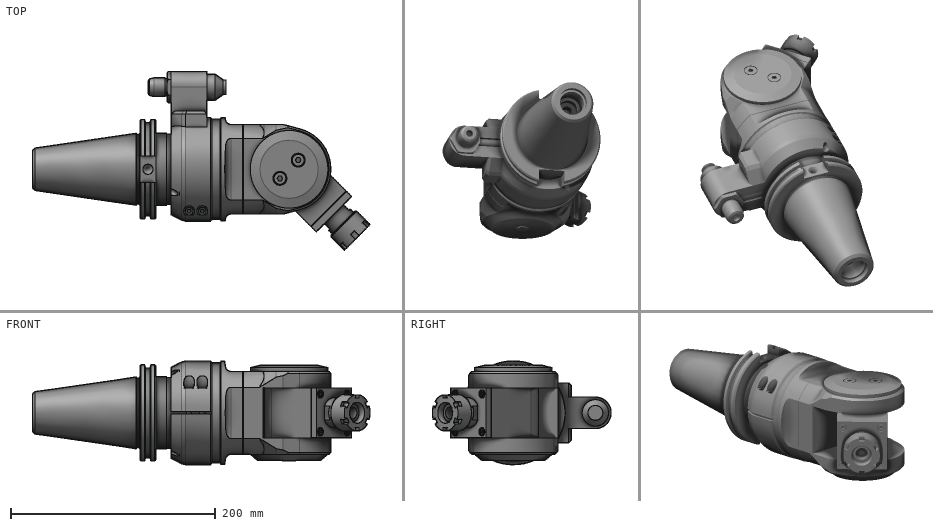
import cadquery as cq
import math


OVERALL_LENGTH = 331

TAPER_SMALL_R = 20.5
TAPER_LENGTH = 101.5
TAPER_SLOPE = 7 / 48
SHANK_END_CHAMFER = 2.5
SHANK_FACE_R = 18.5
RELIEF_R = 34.0
RELIEF_WALL = 1.0
FLANGE_X0, FLANGE_X1 = 105.2, 121.0
FLANGE_R = 49.0
FLANGE_EDGE = 1.3
V_GROOVE_X0, V_GROOVE_X1 = 110.0, 116.2
V_GROOVE_R = 46.0
V_GROOVE_SLOPE = 1.0
NECK_R = 35.5
NECK_X1 = 131.5
KEY_WIDTH = 25.8
KEY_FLOOR_TOP, KEY_FLOOR_BOTTOM = 37.7, 35.5
KEY_HOLE_D, KEY_HOLE_DEPTH = 10.0, 5.0
DRAWBAR_BORE = ((14.0, 5.0), (12.0, 23.2), (9.0, 29.8), (5.0, 39.7))

HUB_R = 34.8
BODY_R = 50.5
REGISTER_R = 49.3
RING_X0, RING_X1 = 136.0, 176.0
SHOULDER_X = 184.0
SHOULDER_EDGE = 1.0
FLAT_X0 = 190.0
FLAT_END_SLOPE = 0.15
FLAT_FILLET = 5.3
JOINT_X = 206.5
JOINT_EDGE = 0.5
FLAT_Y, FLAT_Z = 44.0, 40.7

SWIVEL_X = 251.5
CHEEK_R = 41.0
CHEEK_BEND_X = 245.5
CHEEK_EDGE = 2.0
CORNER_BEVEL = ((223.0, 49.3), (227.0, 50.5), (239.0, 56.0), (253.2, 58.0))
HEAD_HALF = 24.5
FORK_GAP_X = 226.5
COVER_R, COVER_TOP_R = 38.0, 28.5
COVER_WALL, COVER_RISE = 3.5, 6.0
COVER_BOTTOM_R = 30.8
PIVOT_D, PIVOT_HEIGHT = 13.0, 0.5
COVER_SCREW_OFFSET = 9.0
COVER_SCREW_D = 13.5

RING_R = 51.0
RING_FACE_R = 44.7
RING_CONE_X, RING_CONE_R = 146.3, 50.0
RING_ROUND_X = 150.3
RING_EDGE = 1.5
ARM_X1 = 171.0
ARM_HALF = 15.5
PIN_Y = 80.5
LUG_Y, LUG_HALF = 57.0, 29.5
LUG_EDGE = 2.5
SLIT_WIDTH = 2.5
CLAMP_SOCKET = 4.0
CLAMP_SCREW_X = (153.5, 166.5)
CLAMP_SCREW_Y = -41.0
CLAMP_HOLE_D, CLAMP_SEAT_D, CLAMP_SHANK_D = 10.5, 7.5, 5.0
CLAMP_STEP_Z, CLAMP_SEAT_Z = 24.0, 21.0
PEG_HOLE_D, PEG_HOLE_X1, PEG_HOLE_CIRCLE_R = 7.0, 144.3, 44.7
PEG_HOLE_ANGLE = 30
ROD_D = 8.5

PIN_R = 9.3
PIN_TIP_X, PIN_TIP_R = 113.5, 6.3
PIN_STEP_X, PIN_STEP_R, PIN_CHAMFER_X = 115.0, 8.3, 119.0
PIN_NECK_X, PIN_NECK_R = 130.0, 8.5
HEX_X0, HEX_FLATS = 132.0, 26.8
HEX_CORNER_CUT = 1.3
PIN_SEAT_R = 13.0
PIN_SEAT_X, PIN_CONE_X, PIN_END_X = 179.0, 187.0, 190.0
PIN_END_R = 7.3
PIN_HOLE_D, PIN_HOLE_DEPTH = 7.0, 6.5

HEAD_ANGLE = 45
PLATE_START, PLATE_END = 54.5, 62.2
SEAM = 0.5
NOSE_R = 15.0
NOSE_FLAT, NOSE_FLAT_LENGTH, NOSE_FLAT_WIDTH = 13.0, 7.5, 14.0
NUT_R = 18.0
NUT_START = 74.8
NUT_END = (OVERALL_LENGTH - SWIVEL_X) * math.sqrt(2) - NUT_R
NUT_EDGE = 1.0
NUT_BORE_R, NUT_MOUTH_R = 9.0, 10.3
NUT_SLOTS = 6
NUT_SLOT_WIDTH, NUT_SLOT_DEPTH, NUT_SLOT_LENGTH = 5.3, 3.3, 6.5
PILOT_LENGTH = 13.2
COLLET_D, COLLET_DEPTH = 12.0, 10.0
PLATE_SCREW_OFFSET, PLATE_SCREW_D = 18.5, 8.0

SCREW_GROOVE, SCREW_DEPTH = 1.0, 1.3
SOCKET_RATIO = 0.4

REACH = 132.5


def turned(points):
    """Revolve an (x, radius) outline about the X axis."""
    return cq.Workplane("XY").polyline(points).close().revolve(360, (0, 0, 0), (1, 0, 0))


def x_cylinder(radius, x0, x1, y=0, z=0):
    return cq.Workplane("YZ", origin=(x0, y, z)).circle(radius).extrude(x1 - x0)


def block(x0, x1, y0, y1, z0, z1):
    return cq.Workplane("XY").box(x1 - x0, y1 - y0, z1 - z0, centered=False).translate((x0, y0, z0))


def screw_recess(plane, diameter):
    """Cutter for a countersunk screw head: a ring gap around it and a hexagon socket."""
    gap = plane.circle(diameter / 2).circle(diameter / 2 - SCREW_GROOVE).extrude(-SCREW_DEPTH)
    socket = plane.polygon(6, SOCKET_RATIO * diameter).extrude(-2 * SCREW_DEPTH)
    return gap.union(socket)


def main_body():
    taper_large_r = TAPER_SMALL_R + TAPER_SLOPE * TAPER_LENGTH
    body = turned([
        (0, 0),
        (0, SHANK_FACE_R),
        (SHANK_END_CHAMFER, TAPER_SMALL_R + TAPER_SLOPE * SHANK_END_CHAMFER),
        (TAPER_LENGTH, taper_large_r),
        (TAPER_LENGTH + RELIEF_WALL, RELIEF_R),
        (FLANGE_X0 - RELIEF_WALL, RELIEF_R),
        (FLANGE_X0, taper_large_r),
        (FLANGE_X0, FLANGE_R - FLANGE_EDGE),
        (FLANGE_X0 + FLANGE_EDGE, FLANGE_R),
        (V_GROOVE_X0, FLANGE_R),
        (V_GROOVE_X0 + V_GROOVE_SLOPE, V_GROOVE_R),
        (V_GROOVE_X1 - V_GROOVE_SLOPE, V_GROOVE_R),
        (V_GROOVE_X1, FLANGE_R),
        (FLANGE_X1 - FLANGE_EDGE, FLANGE_R),
        (FLANGE_X1, FLANGE_R - FLANGE_EDGE),
        (FLANGE_X1, NECK_R),
        (NECK_X1, NECK_R),
        (NECK_X1, HUB_R),
        (RING_X1, HUB_R),
        (RING_X1, REGISTER_R),
        (SHOULDER_X, REGISTER_R),
        (SHOULDER_X + SHOULDER_EDGE, BODY_R),
        (JOINT_X, BODY_R),
        (JOINT_X, 0),
    ])
    body = cut_key_slots(body)
    for radius, depth in DRAWBAR_BORE:
        body = body.cut(x_cylinder(radius, 0, depth))
    return cut_flats(body).faces(">X").edges().chamfer(JOINT_EDGE)


def cut_key_slots(body):
    half = KEY_WIDTH / 2
    body = body.cut(block(FLANGE_X0, FLANGE_X1, -half, half, KEY_FLOOR_TOP, REACH))
    body = body.cut(block(FLANGE_X0, FLANGE_X1, -half, half, -REACH, -KEY_FLOOR_BOTTOM))
    hole_x = (FLANGE_X0 + FLANGE_X1) / 2
    cone = cq.Solid.makeCone(
        0, KEY_HOLE_D / 2, KEY_HOLE_DEPTH, cq.Vector(hole_x, 0, KEY_FLOOR_TOP - KEY_HOLE_DEPTH)
    )
    return body.cut(cq.Workplane(cone))


def cut_flats(body):
    """Four flats that run out into the shoulder with a concave fillet."""
    for side in range(4):
        height = FLAT_Z if side % 2 == 0 else FLAT_Y
        outer = height + BODY_R
        cutter = cq.Workplane("XZ", origin=(0, REACH, 0)).polyline([
            (FLAT_X0, height),
            (FLAT_X0 - FLAT_END_SLOPE * BODY_R, outer),
            (JOINT_X, outer),
            (JOINT_X, height),
        ]).close().extrude(2 * REACH)
        corner = cq.selectors.NearestToPointSelector((FLAT_X0, 0, height))
        cutter = cutter.edges("|Y").edges(corner).fillet(FLAT_FILLET)
        body = body.cut(cutter.rotate((0, 0, 0), (1, 0, 0), 90 * side))
    return body


def fork_outline():
    """Plan of the cheeks: straight sides, a tangent taper and a round end about the swivel."""
    bend = CHEEK_BEND_X - SWIVEL_X
    tangent_angle = math.atan2(FLAT_Y, bend) - math.acos(CHEEK_R / math.hypot(bend, FLAT_Y))
    tangent_x = SWIVEL_X + CHEEK_R * math.cos(tangent_angle)
    tangent_y = CHEEK_R * math.sin(tangent_angle)
    return (
        cq.Workplane("XY", origin=(0, 0, -FLAT_Z))
        .moveTo(JOINT_X, -FLAT_Y)
        .lineTo(CHEEK_BEND_X, -FLAT_Y)
        .lineTo(tangent_x, -tangent_y)
        .threePointArc((SWIVEL_X + CHEEK_R, 0), (tangent_x, tangent_y))
        .lineTo(CHEEK_BEND_X, FLAT_Y)
        .lineTo(JOINT_X, FLAT_Y)
        .close()
    )


def fork():
    cheeks = fork_outline().extrude(2 * FLAT_Z)
    rim = cq.selectors.BoxSelector((SWIVEL_X, -REACH, -REACH), (2 * SWIVEL_X, REACH, REACH))
    cheeks = cheeks.faces("|Z").edges(rim).chamfer(CHEEK_EDGE)
    body = cheeks.intersect(corner_envelope())
    body = body.faces("<X").edges().chamfer(JOINT_EDGE).union(covers())
    body = body.cut(block(FORK_GAP_X, 2 * SWIVEL_X, -REACH, REACH, -HEAD_HALF, HEAD_HALF))
    for side in (-1, 1):
        spot = (SWIVEL_X + side * COVER_SCREW_OFFSET, side * COVER_SCREW_OFFSET, FLAT_Z + COVER_RISE)
        body = body.cut(screw_recess(cq.Workplane("XY", origin=spot), COVER_SCREW_D))
    return body


def corner_envelope():
    """Round bar that grows into bevelled square corners towards the cheeks."""
    end_x = SWIVEL_X + CHEEK_R
    upper = [(JOINT_X, CORNER_BEVEL[0][1]), *CORNER_BEVEL, (end_x, CORNER_BEVEL[-1][1])]
    lower = [(x, -distance) for x, distance in reversed(upper)]
    slab = cq.Workplane("XY", origin=(0, 0, -REACH)).polyline(upper + lower).close().extrude(2 * REACH)
    axis = ((0, 0, 0), (1, 0, 0))
    corners = slab.rotate(*axis, 45).intersect(slab.rotate(*axis, -45))
    corners = corners.intersect(block(CORNER_BEVEL[0][0], end_x, -REACH, REACH, -REACH, REACH))
    return corners.union(x_cylinder(BODY_R, JOINT_X, SWIVEL_X))


def covers():
    """Conical covers above and below the cheeks, the lower one with a small pivot boss."""
    profile = [
        (0, -FLAT_Z - COVER_RISE - PIVOT_HEIGHT),
        (PIVOT_D / 2, -FLAT_Z - COVER_RISE - PIVOT_HEIGHT),
        (PIVOT_D / 2, -FLAT_Z - COVER_RISE),
        (COVER_BOTTOM_R, -FLAT_Z - COVER_RISE),
        (COVER_R, -FLAT_Z),
        (COVER_R, FLAT_Z + COVER_WALL),
        (COVER_TOP_R, FLAT_Z + COVER_RISE),
        (0, FLAT_Z + COVER_RISE),
    ]
    turned_cover = cq.Workplane("XZ").polyline(profile).close().revolve(360, (0, 0, 0), (0, 1, 0))
    return turned_cover.translate((SWIVEL_X, 0, 0))


def clamp_ring():
    ring = turned([
        (RING_X0, 0),
        (RING_X0, RING_FACE_R),
        (RING_CONE_X, RING_CONE_R),
        (RING_ROUND_X, RING_R),
        (RING_X1 - RING_EDGE, RING_R),
        (RING_X1, RING_R - RING_EDGE),
        (RING_X1, 0),
    ])
    ring = add_rod(ring.union(lug()).union(arm()))
    ring = ring.cut(x_cylinder(HUB_R, RING_X0, RING_X1))
    ring = ring.cut(block(RING_X0, RING_X1, -REACH, 0, -SLIT_WIDTH / 2, SLIT_WIDTH / 2))
    ring = add_clamp_screws(ring)
    ring = cut_peg_holes(ring)
    return ring.cut(x_cylinder(PIN_R, RING_X0, ARM_X1, PIN_Y))


def lug():
    """Broad foot of the arm, bevelled like the ring at its front."""
    return (
        cq.Workplane("XZ")
        .polyline([
            (RING_X0, -ARM_HALF),
            (RING_CONE_X, LUG_EDGE - LUG_HALF),
            (RING_ROUND_X, -LUG_HALF),
            (ARM_X1, -LUG_HALF),
            (ARM_X1, LUG_HALF),
            (RING_ROUND_X, LUG_HALF),
            (RING_CONE_X, LUG_HALF - LUG_EDGE),
            (RING_X0, ARM_HALF),
        ])
        .close()
        .extrude(-LUG_Y)
        .faces(">Y")
        .edges()
        .chamfer(LUG_EDGE)
    )


def arm():
    plate = block(RING_X0, ARM_X1, 0, PIN_Y, -ARM_HALF, ARM_HALF)
    return plate.union(x_cylinder(ARM_HALF, RING_X0, ARM_X1, PIN_Y))


def add_rod(ring):
    """Round rod lying in a slot of the arm's front face."""
    rod_r = ROD_D / 2
    ring = ring.cut(block(RING_X0, RING_X0 + rod_r, RING_FACE_R, PIN_Y, -rod_r, rod_r))
    rod = cq.Workplane("XZ", origin=(RING_X0 + rod_r, RING_FACE_R, 0)).circle(rod_r)
    return ring.union(rod.extrude(RING_FACE_R - PIN_Y))


def add_clamp_screws(ring):
    for x in CLAMP_SCREW_X:
        for diameter, floor in ((CLAMP_HOLE_D, CLAMP_STEP_Z), (CLAMP_SEAT_D, CLAMP_SEAT_Z)):
            seat = cq.Workplane("XY", origin=(x, CLAMP_SCREW_Y, floor))
            ring = ring.cut(seat.circle(diameter / 2).extrude(REACH))
        ring = ring.cut(seat.polygon(6, CLAMP_SOCKET).extrude(-SCREW_DEPTH))
        shank = cq.Workplane("XY", origin=(x, CLAMP_SCREW_Y, -SLIT_WIDTH))
        ring = ring.union(shank.circle(CLAMP_SHANK_D / 2).extrude(2 * SLIT_WIDTH))
    return ring


def cut_peg_holes(ring):
    y = -PEG_HOLE_CIRCLE_R * math.sin(math.radians(PEG_HOLE_ANGLE))
    z = PEG_HOLE_CIRCLE_R * math.cos(math.radians(PEG_HOLE_ANGLE))
    for side in (-1, 1):
        ring = ring.cut(x_cylinder(PEG_HOLE_D / 2, RING_X0, PEG_HOLE_X1, y, side * z))
    return ring


def locating_pin():
    pin = turned([
        (PIN_TIP_X, 0),
        (PIN_TIP_X, PIN_TIP_R),
        (PIN_STEP_X, PIN_STEP_R),
        (PIN_CHAMFER_X, PIN_R),
        (PIN_NECK_X, PIN_R),
        (PIN_NECK_X, PIN_NECK_R),
        (HEX_X0, PIN_NECK_R),
        (HEX_X0, PIN_R),
        (ARM_X1, PIN_R),
        (ARM_X1, PIN_SEAT_R),
        (PIN_SEAT_X, PIN_SEAT_R),
        (PIN_CONE_X, PIN_END_R),
        (PIN_END_X, PIN_END_R),
        (PIN_END_X, 0),
    ])
    hex_corner_r = HEX_FLATS / math.sqrt(3)
    collar = cq.Workplane("YZ", origin=(HEX_X0, 0, 0)).polygon(6, 2 * hex_corner_r)
    collar = collar.extrude(RING_X0 - HEX_X0)
    corner_cut = turned([
        (HEX_X0, 0),
        (HEX_X0, hex_corner_r - HEX_CORNER_CUT),
        (HEX_X0 + HEX_CORNER_CUT, hex_corner_r),
        (RING_X0, hex_corner_r),
        (RING_X0, 0),
    ])
    pin = pin.union(collar.intersect(corner_cut))
    pin = pin.cut(x_cylinder(PIN_HOLE_D / 2, PIN_TIP_X, PIN_TIP_X + PIN_HOLE_DEPTH))
    return pin.translate((0, PIN_Y, 0))


def to_head_position(shape):
    """Swing a shape built along X from the origin to the set angle at the swivel axis."""
    return shape.rotate((0, 0, 0), (0, 0, 1), -HEAD_ANGLE).translate((SWIVEL_X, 0, 0))


def head():
    body = block(0, PLATE_END, -HEAD_HALF, HEAD_HALF, -HEAD_HALF, HEAD_HALF)
    knuckle = cq.Workplane("XY", origin=(0, 0, -HEAD_HALF)).circle(HEAD_HALF).extrude(2 * HEAD_HALF)
    body = body.union(knuckle)
    seam = block(PLATE_START, PLATE_START + SEAM, -REACH, REACH, -REACH, REACH)
    core_half = HEAD_HALF - SEAM
    core = block(PLATE_START, PLATE_START + SEAM, -core_half, core_half, -core_half, core_half)
    body = body.cut(seam.cut(core))

    face = cq.Workplane("YZ", origin=(PLATE_END, 0, 0))
    for y in (-PLATE_SCREW_OFFSET, PLATE_SCREW_OFFSET):
        for z in (-PLATE_SCREW_OFFSET, PLATE_SCREW_OFFSET):
            body = body.cut(screw_recess(face.center(y, z), PLATE_SCREW_D))
    return to_head_position(body.union(nose()))


def nose():
    """Spindle nose with two wrench flats and a pilot that carries the nut."""
    spindle = x_cylinder(NOSE_R, PLATE_END, NUT_START)
    flat_end = PLATE_END + NOSE_FLAT_LENGTH
    half = NOSE_FLAT_WIDTH / 2
    for y0, y1 in ((-REACH, -NOSE_FLAT), (NOSE_FLAT, REACH)):
        spindle = spindle.cut(block(PLATE_END, flat_end, y0, y1, -half, half))
    pilot_end = NUT_START + PILOT_LENGTH
    spindle = spindle.union(x_cylinder(NUT_BORE_R, NUT_START, pilot_end))
    return spindle.cut(x_cylinder(COLLET_D / 2, pilot_end - COLLET_DEPTH, pilot_end))


def collet_nut():
    nut = turned([
        (NUT_START, NUT_BORE_R),
        (NUT_START, NUT_R - NUT_EDGE),
        (NUT_START + NUT_EDGE, NUT_R),
        (NUT_END, NUT_R),
        (NUT_END, NUT_MOUTH_R),
        (NUT_START + PILOT_LENGTH, NUT_BORE_R),
    ])
    half = NUT_SLOT_WIDTH / 2
    slot = block(NUT_END - NUT_SLOT_LENGTH, NUT_END, -half, half, NUT_R - NUT_SLOT_DEPTH, REACH)
    for index in range(NUT_SLOTS):
        nut = nut.cut(slot.rotate((0, 0, 0), (1, 0, 0), 360 / NUT_SLOTS * index))
    return to_head_position(nut)


result = cq.Compound.makeCompound([
    main_body().val(),
    fork().val(),
    clamp_ring().val(),
    locating_pin().val(),
    head().val(),
    collet_nut().val(),
])